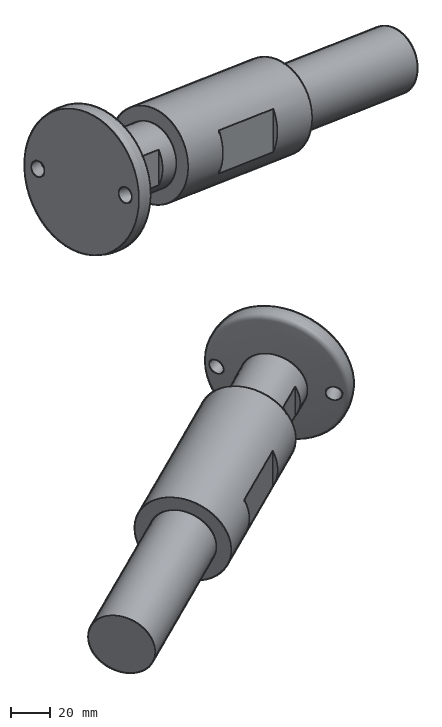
import cadquery as cq
import math

TOTAL_LENGTH = 237.0

SLEEVE_DIAMETER = 52.0
SLEEVE_START = 52.0
SLEEVE_LENGTH = 95.0
SLEEVE_FLAT_WIDTH = 46.5
SLEEVE_FLAT_LENGTH = 41.7

SHAFT_DIAMETER = 36.0
SHAFT_FLAT_WIDTH = 30.5
SHAFT_FLAT_START = 23.7
SHAFT_FLAT_LENGTH = 17.8

FOOT_DIAMETER = 78.0
FOOT_FACE_DIAMETER = 76.5
FOOT_HEIGHT = 13.0
RIM_START = 3.5
RIM_END = 7.0
SHOULDER_RADIUS = 2.8
DOME_EDGE_ANGLE = 14.0

HOLE_DIAMETER = 8.5
HOLE_OFFSET = 29.2
HOLE_TILT = 12.0


def cylinder_y(diameter, start, length):
    """Cylinder along +Y that begins at y = start."""
    return cq.Workplane("XZ", origin=(0, start, 0)).circle(diameter / 2).extrude(-length)


def cut_flats(body, diameter, width, start, length):
    """Cut a pair of wrench flats, width apart, on the -X and +X sides."""
    depth = (diameter - width) / 2
    for side in (-1, 1):
        cutter = cq.Workplane("XY").box(depth, length, diameter)
        body = body.cut(cutter.translate((side * (width + depth) / 2, start + length / 2, 0)))
    return body


def make_foot_disc():
    """Disc with a drafted lower rim, a rounded shoulder and a domed back."""
    rim_radius = FOOT_DIAMETER / 2
    shaft_radius = SHAFT_DIAMETER / 2
    center_radius = rim_radius - SHOULDER_RADIUS

    def shoulder_point(angle):
        """Point on the shoulder arc, measured from the radial direction."""
        turn = math.radians(angle)
        return (center_radius + SHOULDER_RADIUS * math.cos(turn), RIM_END + SHOULDER_RADIUS * math.sin(turn))

    shoulder_sweep = 90 - DOME_EDGE_ANGLE
    profile = (
        cq.Workplane("XY")
        .lineTo(FOOT_FACE_DIAMETER / 2, 0)
        .lineTo(rim_radius, RIM_START)
        .lineTo(rim_radius, RIM_END)
        .threePointArc(shoulder_point(shoulder_sweep / 2), shoulder_point(shoulder_sweep))
        .tangentArcPoint((shaft_radius, FOOT_HEIGHT), relative=False)
        .lineTo(0, FOOT_HEIGHT)
        .close()
    )
    return profile.revolve(360, (0, 0, 0), (0, 1, 0))


def make_foot_hole(side):
    """Hole cutter that leans outward on its way through the foot."""
    length = 2 * FOOT_HEIGHT
    cutter = cylinder_y(HOLE_DIAMETER, -length / 2, 2 * length)
    cutter = cutter.rotate((0, 0, 0), (0, 0, 1), -side * HOLE_TILT)
    return cutter.translate((side * HOLE_OFFSET, 0, 0))


def make_foot_shaft():
    """Foot disc and full-length shaft in one piece."""
    body = make_foot_disc()
    for side in (-1, 1):
        body = body.cut(make_foot_hole(side))
    shaft = cylinder_y(SHAFT_DIAMETER, FOOT_HEIGHT, TOTAL_LENGTH - FOOT_HEIGHT)
    shaft = cut_flats(shaft, SHAFT_DIAMETER, SHAFT_FLAT_WIDTH, SHAFT_FLAT_START, SHAFT_FLAT_LENGTH)
    return body.union(shaft)


def make_sleeve():
    """Sleeve bored to fit the shaft, with wrench flats centred on its length."""
    sleeve = cylinder_y(SLEEVE_DIAMETER, SLEEVE_START, SLEEVE_LENGTH)
    sleeve = sleeve.cut(cylinder_y(SHAFT_DIAMETER, SLEEVE_START, SLEEVE_LENGTH))
    flat_start = SLEEVE_START + (SLEEVE_LENGTH - SLEEVE_FLAT_LENGTH) / 2
    return cut_flats(sleeve, SLEEVE_DIAMETER, SLEEVE_FLAT_WIDTH, flat_start, SLEEVE_FLAT_LENGTH)


foot_shaft = make_foot_shaft()
sleeve = make_sleeve()
result = cq.Compound.makeCompound([foot_shaft.val(), sleeve.val()])